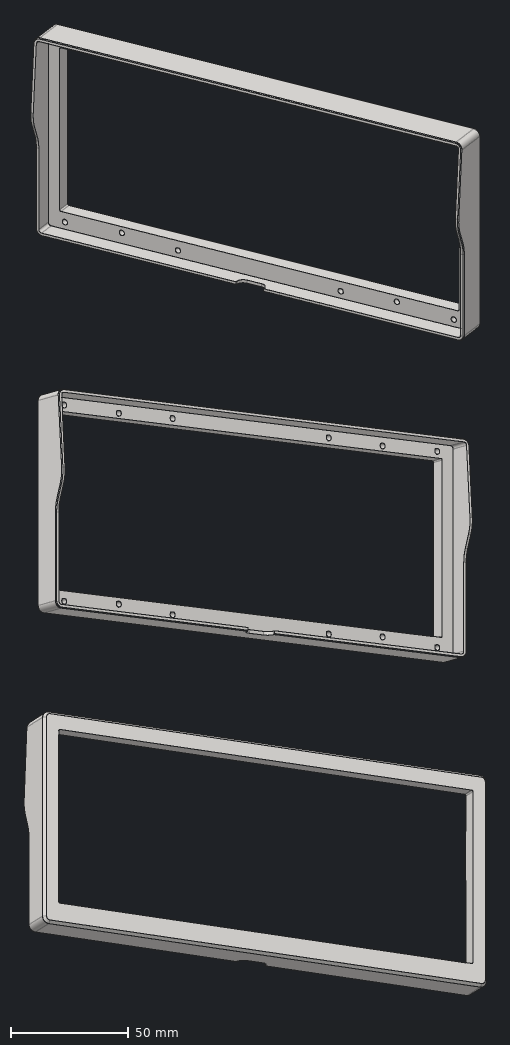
import cadquery as cq
import math

width = 210.3
height = 94.8
corner_radius = 3.0
back_chamfer = 1.3
rim_chamfer = 0.38

wall = 1.58
flange_thickness = 7.0
window_half_width = 98.0
window_top = 39.7
window_bottom = -37.8
window_corner_radius = 0.6

bottom_depth = 15.1
top_depth = 17.0
ear_depth = 20.0
ear_radius = 15.0
ear_start_above_base = 41.5
ear_slope = math.radians(23)
brow_slope = math.radians(4.9)

hole_diameter = 2.5
hole_depth = 4.2
outer_hole_x = 95.5
middle_hole_x = 67.5
inner_hole_x = 40.0
top_hole_z = 42.7
top_middle_hole_z = 42.0
bottom_hole_z = -42.5
bottom_middle_hole_z = -40.8

notch_width = 13.5
notch_depth = 3.8
notch_radius = 3.2

base_z = -height / 2
top_z = height / 2


def arc_point(center, radius, angle):
    """Point on a circle in the YZ plane; angle is measured from -Y towards +Z."""
    return (center[0] - radius * math.cos(angle), center[1] + radius * math.sin(angle))


def centered_box(x_size, z_min, z_max, y_min, y_max):
    """Box centred on X and spanning the given Z and Y ranges."""
    return (
        cq.Workplane("XY")
        .box(x_size, y_max - y_min, z_max - z_min, centered=(True, False, False))
        .translate((0, y_min, z_min))
    )


def side_profile():
    """YZ outline: flat lower front, concave bend, rounded ear, long slope to the top."""
    hollow_center = (-bottom_depth - ear_radius, base_z + ear_start_above_base)
    hollow_start = (-bottom_depth, hollow_center[1])
    hollow_middle = arc_point(hollow_center, -ear_radius, -ear_slope / 2)
    hollow_end = arc_point(hollow_center, -ear_radius, -ear_slope)

    ear_center_y = -ear_depth + ear_radius
    ear_start_y = ear_center_y - ear_radius * math.cos(ear_slope)
    flank_rise = (hollow_end[0] - ear_start_y) / math.tan(ear_slope)
    ear_center_z = hollow_end[1] + flank_rise + ear_radius * math.sin(ear_slope)
    ear_center = (ear_center_y, ear_center_z)
    ear_start = arc_point(ear_center, ear_radius, -ear_slope)
    ear_middle = arc_point(ear_center, ear_radius, 0)
    ear_end = arc_point(ear_center, ear_radius, brow_slope)

    return (
        cq.Workplane("YZ")
        .moveTo(0, base_z)
        .lineTo(-bottom_depth, base_z)
        .lineTo(*hollow_start)
        .threePointArc(hollow_middle, hollow_end)
        .lineTo(*ear_start)
        .threePointArc(ear_middle, ear_end)
        .lineTo(-top_depth, top_z)
        .lineTo(0, top_z)
        .close()
    )


def outer_body():
    body = side_profile().extrude(width / 2, both=True)
    body = body.edges("|Y").fillet(corner_radius)
    body = body.faces(">Y").edges().chamfer(back_chamfer)
    return body.faces("<Z").edges("<Y").chamfer(rim_chamfer)


def front_recess():
    recess = centered_box(
        width - 2 * wall, base_z + wall, top_z - wall, -ear_depth, -flange_thickness
    )
    return recess.edges("|Y").fillet(corner_radius - wall)


def window():
    opening = centered_box(
        2 * window_half_width, window_bottom, window_top, -flange_thickness, 0
    )
    return opening.edges("|Y").fillet(window_corner_radius)


def flange_holes():
    centers = []
    for side in (-1, 1):
        for x in (outer_hole_x, inner_hole_x):
            centers += [(side * x, top_hole_z), (side * x, bottom_hole_z)]
        centers += [
            (side * middle_hole_x, top_middle_hole_z),
            (side * middle_hole_x, bottom_middle_hole_z),
        ]
    return (
        cq.Workplane("XZ", origin=(0, -flange_thickness, 0))
        .pushPoints(centers)
        .circle(hole_diameter / 2)
        .extrude(-hole_depth)
    )


def finger_notch():
    notch = centered_box(
        notch_width, base_z, base_z + wall, -ear_depth, notch_depth - bottom_depth
    )
    return notch.edges("|Z and >Y").fillet(notch_radius)


result = (
    outer_body()
    .cut(front_recess())
    .cut(window())
    .cut(flange_holes())
    .cut(finger_notch())
)